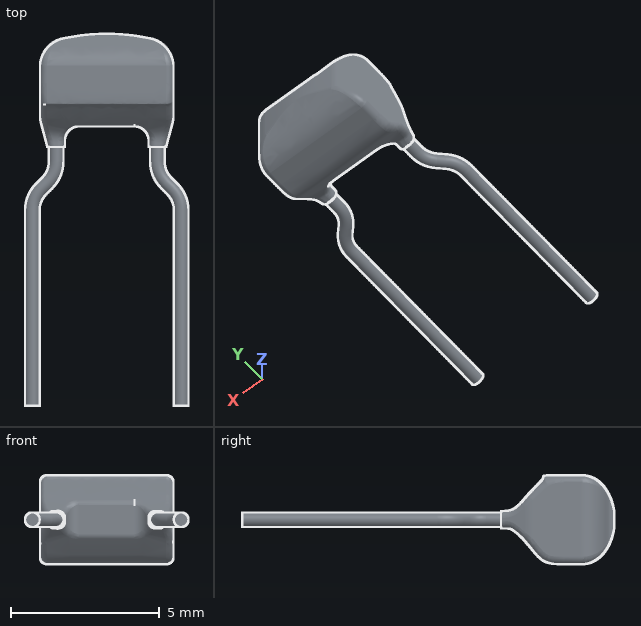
import cadquery as cq
import math


BODY_WIDTH = 4.5
BODY_HEIGHT = 3.0
BODY_LENGTH = 3.8
EDGE_ROUND = 0.25

PLAN_CROWN_RADIUS = 7.0
PLAN_CORNER_RADIUS = 1.0
SIDE_CROWN_LENGTH = 1.1
SIDE_CROWN_CLEARANCE = 0.02

FOOT_SIZE = 0.6
FOOT_TAPER = math.radians(15)
TAPER_BLEND_RADIUS = 1.0
NOTCH_DEPTH = 0.68
NOTCH_CORNER_RADIUS = 0.47

COLLAR_LENGTH = 0.13
SHOULDER_TOP_Y = 2.13
SHOULDER_POINTS = [(0.36, 0.4), (0.61, 0.7), (0.96, 1.0), (1.375, 1.4)]

WIRE_DIAMETER = 0.5
LEAD_PITCH = 5.0
FOOT_PITCH = 3.4
LEAD_LENGTH = 8.7
LEAD_STUB = 0.5
BEND_RADIUS = 1.0
BEND_ANGLE = math.radians(45)

SIDES = (-1, 1)


def blend(corner, toward_start, toward_end, radius, turn):
    """Start, middle and end points of an arc rounding a corner that turns by the given angle.

    The two directions are unit vectors from the corner along its legs.
    """
    tangent = radius * math.tan(turn / 2)
    start = tuple(c + tangent * d for c, d in zip(corner, toward_start))
    end = tuple(c + tangent * d for c, d in zip(corner, toward_end))
    inward = tuple(a + b for a, b in zip(toward_start, toward_end))
    reach = radius * (1 / math.cos(turn / 2) - 1) / math.hypot(*inward)
    middle = tuple(c + reach * d for c, d in zip(corner, inward))
    return start, middle, end


def crowned_end(half_width, tip_y, crown_radius, corner_radius):
    """Corner start, corner middle and crown start points on the positive side of a crowned end."""
    crown_center_y = tip_y - crown_radius
    corner_x = half_width - corner_radius
    center_distance = crown_radius - corner_radius
    corner_y = crown_center_y + math.sqrt(center_distance**2 - corner_x**2)
    crown_start_angle = math.acos(corner_x / center_distance)
    corner_start = (half_width, corner_y)
    corner_middle = (
        corner_x + corner_radius * math.cos(crown_start_angle / 2),
        corner_y + corner_radius * math.sin(crown_start_angle / 2),
    )
    crown_start = (
        corner_x + corner_radius * math.cos(crown_start_angle),
        corner_y + corner_radius * math.sin(crown_start_angle),
    )
    return corner_start, corner_middle, crown_start


def mirrored(point):
    return (-point[0], point[1])


def plan_prism():
    """Outline in X and Y with the crown, the tapering feet and the notch, extruded along Z."""
    half_width = BODY_WIDTH / 2
    foot_outer = (FOOT_PITCH + FOOT_SIZE) / 2
    foot_inner = (FOOT_PITCH - FOOT_SIZE) / 2

    taper_corner = (half_width, (half_width - foot_outer) / math.tan(FOOT_TAPER))
    along_taper = (-math.sin(FOOT_TAPER), -math.cos(FOOT_TAPER))
    notch_corner = (foot_inner, NOTCH_DEPTH)

    notch_start, notch_middle, notch_end = blend(
        notch_corner, (-1, 0), (0, -1), NOTCH_CORNER_RADIUS, math.pi / 2
    )
    taper_start, taper_middle, taper_end = blend(
        taper_corner, along_taper, (0, 1), TAPER_BLEND_RADIUS, FOOT_TAPER
    )
    corner_start, corner_middle, crown_start = crowned_end(
        half_width, BODY_LENGTH, PLAN_CROWN_RADIUS, PLAN_CORNER_RADIUS
    )
    return (
        cq.Workplane("XY", origin=(0, 0, -BODY_HEIGHT))
        .moveTo(*mirrored(notch_start))
        .lineTo(*notch_start)
        .threePointArc(notch_middle, notch_end)
        .lineTo(foot_inner, 0)
        .lineTo(foot_outer, 0)
        .lineTo(*taper_start)
        .threePointArc(taper_middle, taper_end)
        .lineTo(*corner_start)
        .threePointArc(corner_middle, crown_start)
        .threePointArc((0, BODY_LENGTH), mirrored(crown_start))
        .threePointArc(mirrored(corner_middle), mirrored(corner_start))
        .lineTo(*mirrored(taper_end))
        .threePointArc(mirrored(taper_middle), mirrored(taper_start))
        .lineTo(-foot_outer, 0)
        .lineTo(-foot_inner, 0)
        .lineTo(*mirrored(notch_end))
        .threePointArc(mirrored(notch_middle), mirrored(notch_start))
        .close()
        .extrude(2 * BODY_HEIGHT)
    )


def side_prism():
    """Outline in Z and Y with the crown, the shoulders and the thin foot, extruded along X."""
    half_height = BODY_HEIGHT / 2
    half_foot = FOOT_SIZE / 2
    crown_start_y = BODY_LENGTH + SIDE_CROWN_CLEARANCE - SIDE_CROWN_LENGTH

    shoulder_end = (half_height, SHOULDER_TOP_Y)
    neck = (half_foot, COLLAR_LENGTH)
    foot_to_shoulder = [neck, *SHOULDER_POINTS, shoulder_end]
    shoulder_to_foot = [mirrored(point) for point in reversed(foot_to_shoulder)]

    z_by_y = cq.Plane(origin=(BODY_WIDTH, 0, 0), xDir=(0, 0, 1), normal=(-1, 0, 0))
    return (
        cq.Workplane(z_by_y)
        .moveTo(-half_foot, 0)
        .lineTo(half_foot, 0)
        .lineTo(*neck)
        .spline(foot_to_shoulder[1:], tangents=[(0, 1), (0, 1)], includeCurrent=True)
        .lineTo(half_height, crown_start_y)
        .ellipseArc(half_height, SIDE_CROWN_LENGTH, 0, 180, startAtCurrent=True)
        .lineTo(-half_height, SHOULDER_TOP_Y)
        .spline(shoulder_to_foot[1:], tangents=[(0, -1), (0, -1)], includeCurrent=True)
        .close()
        .extrude(2 * BODY_WIDTH)
    )


def make_body():
    """Common part of both prisms, rounded along every edge where the two outlines meet.

    Edges along X or Z only divide one outline into faces or border the foot ends, and stay as they are.
    """
    block = plan_prism().intersect(side_prism())
    return block.edges("not(|X or |Z)").fillet(EDGE_ROUND)


def make_lead(side):
    """Round wire that jogs outward from the foot pitch to the lead pitch in an S-bend."""
    foot_x = FOOT_PITCH / 2
    jog = (LEAD_PITCH - FOOT_PITCH) / 2
    bend_out = BEND_RADIUS * (1 - math.cos(BEND_ANGLE))
    bend_down = BEND_RADIUS * math.sin(BEND_ANGLE)
    half_out = BEND_RADIUS * (1 - math.cos(BEND_ANGLE / 2))
    half_down = BEND_RADIUS * math.sin(BEND_ANGLE / 2)
    jog_height = 2 * bend_down + (jog - 2 * bend_out) / math.tan(BEND_ANGLE)

    def from_foot(out, down):
        return (side * (foot_x + out), -LEAD_STUB - down)

    def from_straight(out, down):
        return (side * (foot_x + jog - out), -LEAD_STUB - jog_height + down)

    path = (
        cq.Workplane("XY")
        .moveTo(side * foot_x, 0)
        .lineTo(*from_foot(0, 0))
        .threePointArc(from_foot(half_out, half_down), from_foot(bend_out, bend_down))
        .lineTo(*from_straight(bend_out, bend_down))
        .threePointArc(from_straight(half_out, half_down), from_straight(0, 0))
        .lineTo(side * (foot_x + jog), -LEAD_LENGTH)
    )
    return cq.Workplane("XZ", origin=(side * foot_x, 0, 0)).circle(WIRE_DIAMETER / 2).sweep(path)


body = make_body()
leads = [make_lead(side) for side in SIDES]

result = cq.Compound.makeCompound([body.val(), *[lead.val() for lead in leads]])